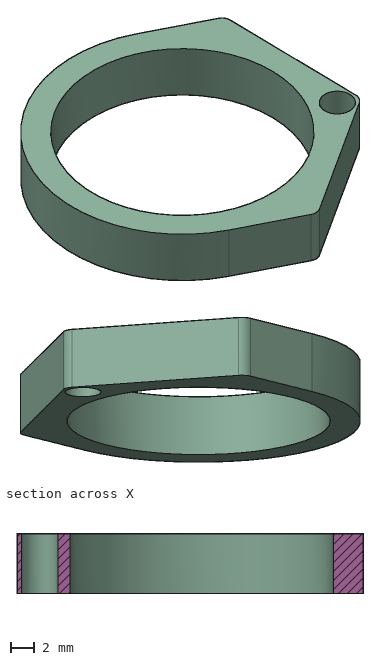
import cadquery as cq
import math

thickness = 5.0
bore_diameter = 22.0
outer_radius = 13.5
overall_length = 28.93
eyelet_diameter = 3.0
roof_angle = 30.0
corner_radius = 1.0
turn = 0.2

tip_y = overall_length - outer_radius
tip_setback = corner_radius * (1 / math.cos(math.radians(roof_angle)) - 1)
apex_y = tip_y + tip_setback
shoulder_y = apex_y - outer_radius * math.tan(math.radians(roof_angle))


def ring_body():
    """House-shaped plate: half-round base, straight sides and a pitched roof."""
    outline = (
        cq.Workplane("XY")
        .moveTo(-outer_radius, 0)
        .threePointArc((0, -outer_radius), (outer_radius, 0))
        .lineTo(outer_radius, shoulder_y)
        .lineTo(0, apex_y)
        .lineTo(-outer_radius, shoulder_y)
        .close()
    )
    plate = outline.extrude(thickness)
    roof_corners = cq.selectors.BoxSelector(
        (-overall_length, shoulder_y / 2, 0), (overall_length, overall_length, thickness)
    )
    return plate.edges("|Z").edges(roof_corners).fillet(corner_radius)


def through_hole(diameter, y):
    """Vertical cutter through the full thickness, centred on X = 0."""
    return cq.Workplane("XY").center(0, y).circle(diameter / 2).extrude(thickness)


bore = through_hole(bore_diameter, 0)
eyelet = through_hole(eyelet_diameter, outer_radius)
flat_sided_ring = ring_body().cut(bore).cut(eyelet)
result = flat_sided_ring.rotate((0, 0, 0), (0, 0, 1), turn)